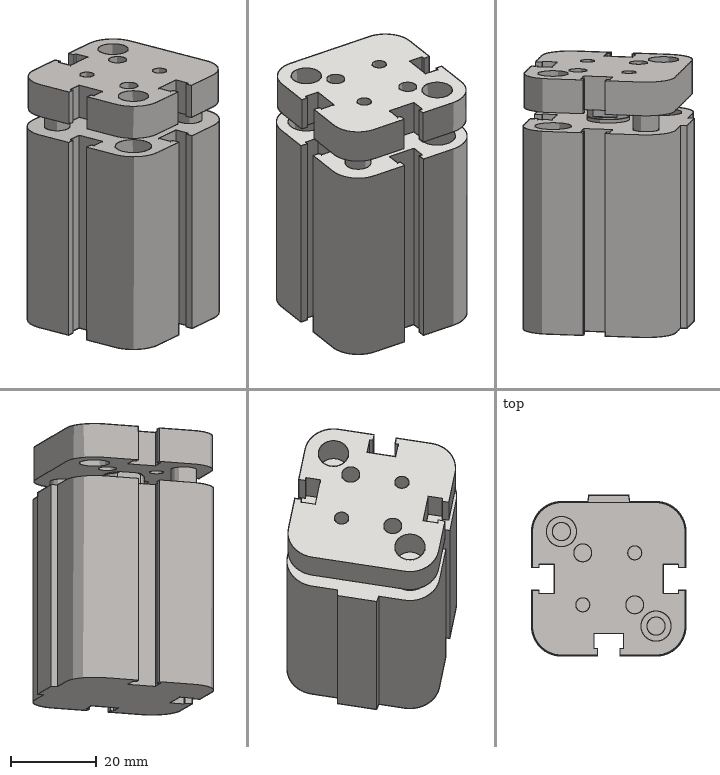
import cadquery as cq

TOTAL_HEIGHT = 60.5
PLATE_THICKNESS = 8.0
GAP = 4.5
PLATE_BOTTOM = TOTAL_HEIGHT - PLATE_THICKNESS
HOUSING_HEIGHT = PLATE_BOTTOM - GAP

HOUSING_WIDTH = 36.0
PLATE_WIDTH = 35.5
HOUSING_CORNER_RADIUS = 7.0
PLATE_CORNER_RADIUS = HOUSING_CORNER_RADIUS - (HOUSING_WIDTH - PLATE_WIDTH) / 2

SLOT_OPENING = 5.2
SLOT_INNER_WIDTH = 6.8
SLOT_DEPTH = 5.25
SLOT_LIP = 1.8

OVERALL_DEPTH = 37.5
RIB_HEIGHT = OVERALL_DEPTH - HOUSING_WIDTH
RIB_BASE_WIDTH = 9.8
RIB_TIP_WIDTH = 9.3

ROD_DIAMETER = 9.8
ROD_FLATS_WIDTH = 8.0
ROD_FLATS_LENGTH = 3.2
ROD_TOP_CHAMFER = 0.35
COLLAR_DIAMETER = 10.0
COLLAR_HEIGHT = 0.85
COLLAR_CHAMFER = 0.05
ROD_BORE_DEPTH = 12.1

CORNER_OFFSET = 11.0
GUIDE_POINTS = [(-CORNER_OFFSET, -CORNER_OFFSET), (CORNER_OFFSET, CORNER_OFFSET)]
SCREW_POINTS = [(-CORNER_OFFSET, CORNER_OFFSET), (CORNER_OFFSET, -CORNER_OFFSET)]
GUIDE_DIAMETER = 6.0
GUIDE_BORE_DEPTH = ROD_BORE_DEPTH

SCREW_HOLE_DIAMETER = 4.25
SCREW_HOLE_DEPTH = 12.1
SCREW_HEAD_DIAMETER = 8.5
SCREW_HEAD_DEPTH = 5.4
ACCESS_DIAMETER = 7.0

FIXING_OFFSET = 6.05
LARGE_FIXING_DIAMETER = 4.2
SMALL_FIXING_DIAMETER = 3.25
LARGE_FIXING_POINTS = [(-FIXING_OFFSET, FIXING_OFFSET), (FIXING_OFFSET, -FIXING_OFFSET)]
SMALL_FIXING_POINTS = [(-FIXING_OFFSET, -FIXING_OFFSET), (FIXING_OFFSET, FIXING_OFFSET)]


def cylinders(points, diameter, bottom, top):
    """Upright cylinders at the given points, from bottom to top."""
    return (
        cq.Workplane("XY")
        .workplane(offset=bottom)
        .pushPoints(points)
        .circle(diameter / 2)
        .extrude(top - bottom)
    )


def t_slots():
    """The three T-slots as full-height cutters, measured from the housing sides."""
    side = HOUSING_WIDTH / 2
    opening = cq.Workplane("XY").box(
        SLOT_OPENING, SLOT_LIP, TOTAL_HEIGHT, centered=(True, False, False)
    ).translate((0, -side, 0))
    pocket = cq.Workplane("XY").box(
        SLOT_INNER_WIDTH, SLOT_DEPTH - SLOT_LIP, TOTAL_HEIGHT, centered=(True, False, False)
    ).translate((0, -side + SLOT_LIP, 0))
    slot = opening.union(pocket)
    slots = slot
    for angle in (-90, 90):
        slots = slots.union(slot.rotate((0, 0, 0), (0, 0, 1), angle))
    return slots


def slotted_block(width, corner_radius, bottom, height):
    """Square block with rounded corners and T-slots on three sides."""
    block = (
        cq.Workplane("XY")
        .workplane(offset=bottom)
        .rect(width, width)
        .extrude(height)
        .edges("|Z")
        .fillet(corner_radius)
    )
    return block.cut(t_slots())


def rib():
    """Tapered rib over the full height of the +Y side."""
    base = HOUSING_WIDTH / 2
    tip = base + RIB_HEIGHT
    return (
        cq.Workplane("XY")
        .moveTo(-RIB_BASE_WIDTH / 2, base)
        .lineTo(-RIB_TIP_WIDTH / 2, tip)
        .lineTo(RIB_TIP_WIDTH / 2, tip)
        .lineTo(RIB_BASE_WIDTH / 2, base)
        .close()
        .extrude(HOUSING_HEIGHT)
    )


def rod_collar():
    """Chamfered collar on top of the housing around the piston rod."""
    collar = cylinders([(0, 0)], COLLAR_DIAMETER, HOUSING_HEIGHT, HOUSING_HEIGHT + COLLAR_HEIGHT)
    return collar.faces(">Z").chamfer(COLLAR_CHAMFER)


def piston_rod():
    """Piston rod, chamfered below the plate and flattened on the -X and +X sides."""
    rod = cylinders([(0, 0)], ROD_DIAMETER, HOUSING_HEIGHT - ROD_BORE_DEPTH, PLATE_BOTTOM)
    rod = rod.faces(">Z").chamfer(ROD_TOP_CHAMFER)
    flat_depth = (ROD_DIAMETER - ROD_FLATS_WIDTH) / 2
    for side in (-1, 1):
        flat = cq.Workplane("XY").box(
            flat_depth, ROD_DIAMETER, ROD_FLATS_LENGTH, centered=(True, True, False)
        ).translate((side * (ROD_FLATS_WIDTH + flat_depth) / 2, 0, PLATE_BOTTOM - ROD_FLATS_LENGTH))
        rod = rod.cut(flat)
    return rod


def guide_rods():
    """The two guide rods, from the ends of their bores up to the plate."""
    return cylinders(GUIDE_POINTS, GUIDE_DIAMETER, HOUSING_HEIGHT - GUIDE_BORE_DEPTH, PLATE_BOTTOM)


def make_housing():
    """Cylinder housing with rod bores and counterbored mounting holes."""
    body = slotted_block(HOUSING_WIDTH, HOUSING_CORNER_RADIUS, 0, HOUSING_HEIGHT)
    body = body.union(rib()).union(rod_collar())
    rod_bore = cylinders(
        [(0, 0)], ROD_DIAMETER, HOUSING_HEIGHT - ROD_BORE_DEPTH, HOUSING_HEIGHT + COLLAR_HEIGHT
    )
    guide_bores = cylinders(
        GUIDE_POINTS, GUIDE_DIAMETER, HOUSING_HEIGHT - GUIDE_BORE_DEPTH, HOUSING_HEIGHT
    )
    screw_holes = cylinders(
        SCREW_POINTS, SCREW_HOLE_DIAMETER, HOUSING_HEIGHT - SCREW_HOLE_DEPTH, HOUSING_HEIGHT
    )
    screw_heads = cylinders(
        SCREW_POINTS, SCREW_HEAD_DIAMETER, HOUSING_HEIGHT - SCREW_HEAD_DEPTH, HOUSING_HEIGHT
    )
    return body.cut(rod_bore).cut(guide_bores).cut(screw_holes).cut(screw_heads)


def make_slide():
    """Moving slide: the front plate with its piston rod and guide rods."""
    plate = slotted_block(PLATE_WIDTH, PLATE_CORNER_RADIUS, PLATE_BOTTOM, PLATE_THICKNESS)
    for points, diameter in (
        (SCREW_POINTS, ACCESS_DIAMETER),
        (LARGE_FIXING_POINTS, LARGE_FIXING_DIAMETER),
        (SMALL_FIXING_POINTS, SMALL_FIXING_DIAMETER),
    ):
        plate = plate.cut(cylinders(points, diameter, PLATE_BOTTOM, TOTAL_HEIGHT))
    return plate.union(piston_rod()).union(guide_rods())


housing = make_housing()
slide = make_slide()

result = cq.Compound.makeCompound([housing.val(), slide.val()])